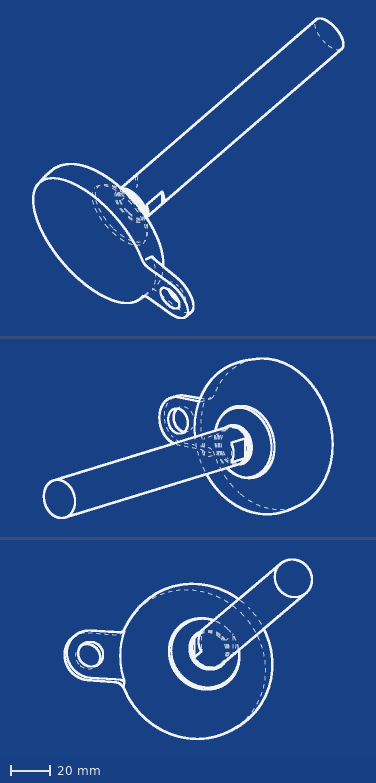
import cadquery as cq
import math


foot_diameter = 80.0
foot_radius = foot_diameter / 2
underside_radius = 39.4
taper_height = 6.2
shoulder_start = 9.5
shoulder_end = 16.0
shoulder_end_radius = 35.2
cone_top = 22.3
collar_bottom_radius = 18.9
seat_height = 24.0
seat_radius = 18.2

overall_length = 108.0
lug_reach = overall_length - foot_radius
lug_radius = 12.5
lug_hole_radius = 6.5
lug_root_fillet = 5.0
lug_tip_height = 4.4
lug_center = lug_reach - lug_radius

total_height = 181.5
stem_radius = 10.0
dome_top = 30.3
dome_top_radius = 10.3
neck_radius = 9.3
neck_top = 32.1
flat_bottom = 33.5
flat_top = 45.5
flat_half_width = 8.5


def dome_midpoint():
    """Midpoint of the dome profile, an arc of a sphere centred on the axis."""
    rise = dome_top - seat_height
    radius_gap = seat_radius**2 - dome_top_radius**2
    center_height = (seat_height + dome_top - radius_gap / rise) / 2
    sphere_radius = math.hypot(seat_radius, seat_height - center_height)
    start = math.atan2(seat_height - center_height, seat_radius)
    end = math.atan2(dome_top - center_height, dome_top_radius)
    angle = (start + end) / 2
    return sphere_radius * math.cos(angle), center_height + sphere_radius * math.sin(angle)


def revolve_about_y(profile):
    return profile.close().revolve(360, (0, 0, 0), (0, 1, 0))


def make_lug():
    """Sloping lug joined to a disc, with rounded inside corners and a fixing hole."""
    base = cq.Workplane("XZ")
    lug = base.circle(underside_radius).extrude(-taper_height)
    arm = base.center(lug_center / 2, 0).rect(lug_center, 2 * lug_radius).extrude(-taper_height)
    tip = base.center(lug_center, 0).circle(lug_radius).extrude(-taper_height)
    lug = lug.union(arm).union(tip)
    root_x = math.sqrt(underside_radius**2 - lug_radius**2)
    for side in (-1, 1):
        corner = (root_x, taper_height / 2, side * lug_radius)
        lug = lug.edges(cq.selectors.NearestToPointSelector(corner)).fillet(lug_root_fillet)
    side_outline = (
        cq.Workplane("XY")
        .moveTo(-foot_radius, 0)
        .lineTo(lug_reach, 0)
        .lineTo(lug_reach, lug_tip_height)
        .lineTo(underside_radius, taper_height)
        .lineTo(-foot_radius, taper_height)
        .close()
        .extrude(foot_radius, both=True)
    )
    hole = base.center(lug_center, 0).circle(lug_hole_radius).extrude(-taper_height)
    return lug.intersect(side_outline).cut(hole)


def make_foot():
    profile = (
        cq.Workplane("XY")
        .lineTo(underside_radius, 0)
        .lineTo(foot_radius, taper_height)
        .lineTo(foot_radius, shoulder_start)
        .tangentArcPoint((shoulder_end_radius, shoulder_end), relative=False)
        .lineTo(collar_bottom_radius, cone_top)
        .lineTo(seat_radius, seat_height)
        .lineTo(0, seat_height)
    )
    return revolve_about_y(profile).union(make_lug())


def make_stem():
    profile = (
        cq.Workplane("XY")
        .moveTo(0, seat_height)
        .lineTo(seat_radius, seat_height)
        .threePointArc(dome_midpoint(), (dome_top_radius, dome_top))
        .lineTo(neck_radius, dome_top)
        .lineTo(neck_radius, neck_top)
        .lineTo(stem_radius, neck_top)
        .lineTo(stem_radius, total_height)
        .lineTo(0, total_height)
    )
    stem = revolve_about_y(profile)
    flat_depth = stem_radius - flat_half_width
    flat_height = flat_top - flat_bottom
    for side in (-1, 1):
        cutter = cq.Workplane("XY").box(flat_depth, flat_height, 2 * stem_radius).translate(
            (side * (flat_half_width + flat_depth / 2), flat_bottom + flat_height / 2, 0)
        )
        stem = stem.cut(cutter)
    return stem


foot = make_foot()
stem = make_stem()

result = cq.Compound.makeCompound([foot.val(), stem.val()])